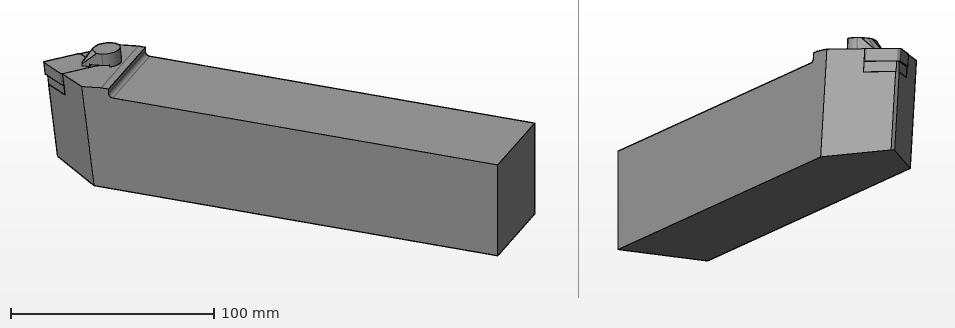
import cadquery as cq
import math

LENGTH = 249.5
WIDTH = 50.0
SHANK_TOP = 50.0
LEDGE_TOP = 54.5
LEDGE_END_X = 44.0
LEDGE_FILLET = 2.2

TIP_Z = 50.0
TILT = 6.4
FLANK_LEAN = 7.0
HALF_POINT_ANGLE = 40.0
NOSE_FLAT = 2.0
FLANK_SETBACK = 0.5
CUT_SIZE = 149.7

INSERT_SIDE = 19.2
INSERT_THICKNESS = 6.2
INSERT_RADIUS = 1.0
SHIM_THICKNESS = 5.2
SHIM_SETBACK = 0.7

CLAMP_X = 32.2
CLAMP_Y = 5.0
CLAMP_RADIUS = 6.7
CLAMP_HEIGHT = 7.2
CLAMP_GAP = 1.0
HEEL_X = 35.5
PAD_X = 25.0
TOE_HEIGHT = 1.0
TOE_TIP = (20.2, 3.0)
TOE_SIDE = (21.0, CLAMP_Y - CLAMP_RADIUS)

SIN_POINT = math.sin(math.radians(HALF_POINT_ANGLE))
COS_POINT = math.cos(math.radians(HALF_POINT_ANGLE))
TAN_POINT = SIN_POINT / COS_POINT
TAN_TILT = math.tan(math.radians(TILT))
APEX_X = INSERT_RADIUS - INSERT_RADIUS / SIN_POINT


def tilted_plane(angle):
    """Plane through the cutting tip that climbs along +X at an angle in degrees."""
    climb = math.sin(math.radians(angle))
    run = math.cos(math.radians(angle))
    return cq.Plane(origin=(0, 0, TIP_Z), xDir=(run, 0, climb), normal=(-climb, 0, run))


SEAT = tilted_plane(TILT)


def seat_level(height):
    """Workplane parallel to the seat, at a height above it."""
    return cq.Workplane(SEAT).workplane(offset=height)


def rhombus(bottom, thickness, setback):
    """Rhombic prism; its front flanks move back by setback, its rear walls stay."""
    side = INSERT_SIDE - setback / math.sin(math.radians(2 * HALF_POINT_ANGLE))
    far_x = APEX_X + 2 * INSERT_SIDE * COS_POINT
    half_length = side * COS_POINT
    half_width = side * SIN_POINT
    outline = [
        (far_x - 2 * half_length, 0),
        (far_x - half_length, -half_width),
        (far_x, 0),
        (far_x - half_length, half_width),
    ]
    return seat_level(bottom).polyline(outline).close().extrude(thickness)


def make_shank():
    """Side profile across the full width, with a fillet behind the ledge."""
    flat_start_x = (LEDGE_TOP - TIP_Z) / TAN_TILT
    front_x = -2.5
    front_z = TIP_Z + front_x * TAN_TILT
    arc_x = LEDGE_END_X + LEDGE_FILLET * (1 - math.sqrt(0.5))
    arc_z = SHANK_TOP + LEDGE_FILLET * (1 - math.sqrt(0.5))
    return (
        cq.Workplane("XZ", origin=(0, WIDTH / 2, 0))
        .moveTo(front_x, 0)
        .lineTo(LENGTH, 0)
        .lineTo(LENGTH, SHANK_TOP)
        .lineTo(LEDGE_END_X + LEDGE_FILLET, SHANK_TOP)
        .threePointArc((arc_x, arc_z), (LEDGE_END_X, SHANK_TOP + LEDGE_FILLET))
        .lineTo(LEDGE_END_X, LEDGE_TOP)
        .lineTo(flat_start_x, LEDGE_TOP)
        .lineTo(front_x, front_z)
        .close()
        .extrude(WIDTH)
    )


def make_point():
    """Large leaning wedge that trims the head to a blunt point."""
    apex_x = APEX_X + FLANK_SETBACK / SIN_POINT
    nose_x = apex_x + NOSE_FLAT / 2 / TAN_POINT
    wide_x = apex_x + CUT_SIZE / TAN_POINT
    far_x = 2 * LENGTH
    outline = [
        (nose_x, -NOSE_FLAT / 2),
        (wide_x, -CUT_SIZE),
        (far_x, -CUT_SIZE),
        (far_x, CUT_SIZE),
        (wide_x, CUT_SIZE),
        (nose_x, NOSE_FLAT / 2),
    ]
    wedge = cq.Workplane(tilted_plane(FLANK_LEAN)).polyline(outline).close()
    return wedge.extrude(CUT_SIZE, both=True)


def toe_facet(top_start, top_end, low_point):
    """Cutter outside the sloping plane through a top edge and a low point."""
    start = cq.Vector(*top_start, CLAMP_HEIGHT)
    end = cq.Vector(*top_end, CLAMP_HEIGHT)
    low = cq.Vector(*low_point, TOE_HEIGHT)
    along = end - start
    outward = (low - start).cross(along)
    facet = cq.Plane(origin=start.toTuple(), xDir=along.toTuple(), normal=outward.toTuple())
    cutter = cq.Workplane(facet).rect(CUT_SIZE, CUT_SIZE).extrude(CUT_SIZE)
    return cutter.val().moved(cq.Location(SEAT))


def make_clamp():
    """Round clamp with a faceted toe reaching over the insert."""
    side_y = CLAMP_Y - CLAMP_RADIUS
    tangent = CLAMP_RADIUS * math.sqrt(0.5)
    toe_outline = [
        TOE_TIP,
        TOE_SIDE,
        (CLAMP_X, side_y),
        (CLAMP_X, CLAMP_Y),
        (CLAMP_X - tangent, CLAMP_Y + tangent),
    ]
    clamp = seat_level(0).center(CLAMP_X, CLAMP_Y).circle(CLAMP_RADIUS).extrude(CLAMP_HEIGHT)
    clamp = clamp.union(seat_level(0).polyline(toe_outline).close().extrude(CLAMP_HEIGHT))

    top_corners = [(26.2, 9.2), (25.2, 4.7), (25.2, 3.0), (29.5, side_y)]
    low_points = [TOE_TIP, TOE_TIP, TOE_SIDE]
    for start, end, low in zip(top_corners, top_corners[1:], low_points):
        clamp = clamp.cut(cq.Workplane(toe_facet(start, end, low)))

    relief = (
        seat_level(0)
        .center((PAD_X + HEEL_X) / 2, 0)
        .rect(HEEL_X - PAD_X, WIDTH)
        .extrude(CLAMP_GAP)
    )
    return clamp.cut(relief)


def make_insert():
    """Cutting insert with all four corners rounded."""
    insert = rhombus(-INSERT_THICKNESS, INSERT_THICKNESS, 0)
    upright = cq.selectors.ParallelDirSelector(SEAT.zDir)
    return insert.edges(upright).fillet(INSERT_RADIUS)


def make_holder():
    """Shank, head, shim and clamp as one solid with a pocket for the insert."""
    pocket_depth = INSERT_THICKNESS + SHIM_THICKNESS
    holder = make_shank().intersect(make_point())
    holder = holder.cut(rhombus(-pocket_depth, pocket_depth, 0))
    shim = rhombus(-pocket_depth, SHIM_THICKNESS, SHIM_SETBACK).intersect(make_point())
    return holder.union(shim).union(make_clamp())


holder = make_holder()
insert = make_insert()

result = cq.Compound.makeCompound([holder.val(), insert.val()])